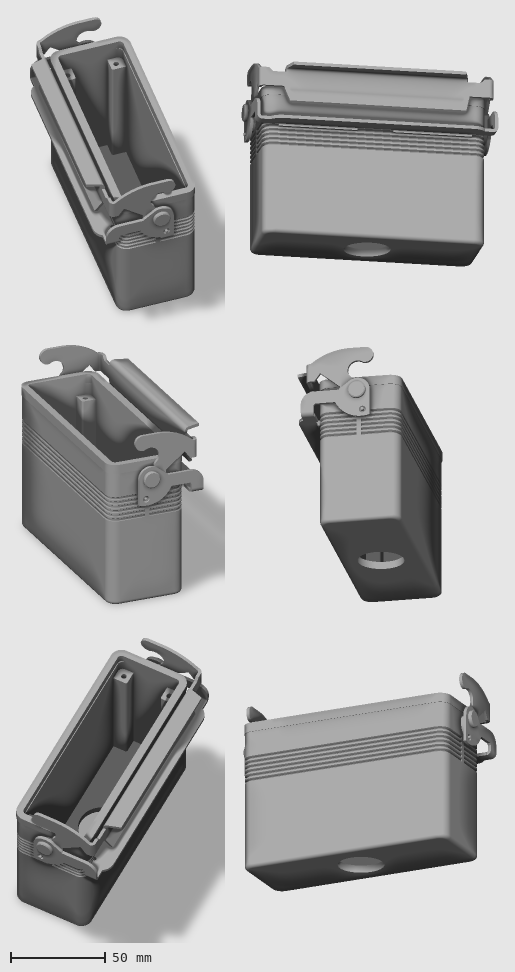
import cadquery as cq
import math

BODY_LENGTH = 120.0
BODY_WIDTH = 44.0
BODY_TOP = 76.2
HOUSING_TOP = 81.3
CORNER_RADIUS = 6.2
BOTTOM_FILLET = 2.0
RIM_OVERHANG = 0.3
FLOOR = 4.0
CAVITY_LENGTH = 113.0
CAVITY_WIDTH = 35.9
CAVITY_RADIUS = 3.0
REAR_LEDGE = 0.4
RIM_CAVITY_RADIUS = 2.1
END_WALL = (BODY_LENGTH - CAVITY_LENGTH) / 2
CABLE_HOLE_RADIUS = 12.5

POST_SIZE = 7.9
POST_TOP = 69.5
POST_FILLET = 1.1
POST_HOLE_X = 52.1
POST_HOLE_Y = 13.5
POST_HOLE_RADIUS = 1.5
POST_HOLE_TAPER = 1.4
POST_HOLE_DEPTH = 16.1

GROOVE_COUNT = 6
GROOVE_HEIGHT = 1.6
GROOVE_RIB = 0.88
GROOVE_PITCH = GROOVE_HEIGHT + GROOVE_RIB
GROOVE_DEPTH = 1.2
GROOVE_TAPER = 0.7
GROOVE_TOP = 62.6
GROOVE_BREAK_WIDTH = 2.5

SHEET = 1.7
PIVOT_Z = 72.1
PLATE_MEET_X = 63.4
HOOK_INNER_X = PLATE_MEET_X - SHEET
ARM_OUTER_X = PLATE_MEET_X + SHEET
RIVET_END_X = 67.0
RIVET_HEAD_RADIUS = 4.7
RIVET_CHAMFER = 0.5
PIN_RADIUS = 2.5
SPIGOT_RADIUS = 1.7
BEND_INNER = 1.0
BEND_OUTER = BEND_INNER + SHEET

HOOK_TOP = 97.0
NOSE_RADIUS = 4.3
NOSE_Y = 4.2
NOSE_END_Y = 2.8
BITE_RADIUS = 5.4
BITE_Z = 84.3
NECK_FLARE_MIDDLE = (-5.0, 82.3)
NECK_START = (-3.9, 81.0)
NECK_MIDDLE = (-3.1, 79.7)
NECK_END = (-2.8, 77.7)
HEEL_Y = 5.6
THROAT_BOTTOM_Z = 75.3
THROAT_TIP = (-20.2, 83.9)
THROAT_FRONT_Y = -23.5
BACK_ARC_START_Y = -5.4
BACK_ARC_MIDDLE = (-16.6, 94.6)
HOOK_FOOT_RADIUS = 10.6
HOOK_FOOT_Y = -9.4

FRONT_Y = -28.0
FRONT_BOTTOM = 79.5
FRONT_TOP = 89.5
FRONT_STEP_Z = 87.4
FRONT_STEP_TOP_X = 58.3
FRONT_STEP_BOTTOM_X = 56.1
FRONT_STRIP_X = 50.1
BEND_X = PLATE_MEET_X - BEND_OUTER
BEND_Y = FRONT_Y + BEND_OUTER

UPPER_FLAP_TOP = 90.9
UPPER_FLAP_Y = -35.8
UPPER_FLAP_ROOT_X = 49.5
UPPER_FLAP_TIP_X = 46.5
LOWER_FLAP_BEND_Z = 77.6
LOWER_FLAP_BEND_INNER = 1.7
LOWER_FLAP_LENGTH = 7.9
LOWER_FLAP_ANGLE = 26.0
LOWER_FLAP_TIP_X = 47.5

BOSS_RADIUS = 7.0
ARM_FRONT_Y = -30.4
ARM_WIDTH = 6.8
ARM_SHOULDER_RADIUS = 7.1
ARM_ROOT = (-9.4, 73.7)
ARM_ROOT_END_Y = -9.9
BELLY_START_Y = -11.8
BELLY_MIDDLE = (-4.4, 58.7)
BELLY_END_Z = 57.9
ARM_TOP = 73.0
ARM_UNDERSIDE = 66.0
ARM_BACK_Y = ARM_FRONT_Y + ARM_WIDTH
FLANGE_TOP = 61.5
FLANGE_BOTTOM = FLANGE_TOP - SHEET
FLANGE_FRONT_Y = -33.9
FLANGE_CORNER_START_X = 51.3
FLANGE_CORNER_MIDDLE = (55.2, -33.0)
FLANGE_CORNER_END_X = 57.9
FLANGE_BACK_Y = -23.3
FLANGE_RELIEF_Y = -24.0
TAB_BACK_Y = -22.1
TAB_BOTTOM = 58.5
TAB_INNER_X = 9.6
TAB_OUTER_X = 52.3
NOTCH_RADIUS = 1.1

STOP_Y = 3.0
STOP_Z = 61.0
STOP_RADIUS = 0.8
STOP_LENGTH = 1.0
STOP_RECESS_RADIUS = 1.9
STOP_RECESS_TAPER = 30.0


def rounded_block(length, width, bottom, top, radius):
    """A block centred on Z with its vertical edges rounded."""
    block = cq.Workplane("XY").workplane(offset=bottom).rect(length, width).extrude(top - bottom)
    return block.edges("|Z").fillet(radius)


def x_disc(radius, x_start, x_end, y=0.0, z=PIVOT_Z):
    """A round bar along X."""
    return cq.Workplane("YZ", origin=(x_start, y, z)).circle(radius).extrude(x_end - x_start)


def both_ends(solid):
    """The shape together with its mirror image across X = 0."""
    return solid.union(solid.mirror("YZ"))


def groove_tool():
    """One ring-shaped groove cutter with a flat floor and a sloping upper wall, top at Z = 0."""
    margin = 1.3
    outside = (
        cq.Workplane("XY").workplane(offset=-GROOVE_HEIGHT)
        .rect(BODY_LENGTH + 2 * margin, BODY_WIDTH + 2 * margin).extrude(GROOVE_HEIGHT)
    )
    core_length = BODY_LENGTH - 2 * GROOVE_DEPTH
    core_width = BODY_WIDTH - 2 * GROOVE_DEPTH
    core_radius = CORNER_RADIUS - GROOVE_DEPTH
    core = rounded_block(core_length, core_width, -GROOVE_HEIGHT, 0, core_radius)
    flare_angle = -math.degrees(math.atan2(GROOVE_DEPTH, GROOVE_TAPER))
    flare = (
        cq.Workplane("XY").workplane(offset=-GROOVE_TAPER)
        .sketch().rect(core_length, core_width).vertices().fillet(core_radius).finalize()
        .extrude(GROOVE_TAPER, taper=flare_angle)
    )
    breaks = (
        cq.Workplane("XY").workplane(offset=-GROOVE_HEIGHT)
        .rect(BODY_LENGTH + 4 * margin, GROOVE_BREAK_WIDTH).extrude(GROOVE_HEIGHT)
    )
    return outside.cut(core).cut(flare).cut(breaks)


def make_housing():
    body = rounded_block(BODY_LENGTH, BODY_WIDTH, 0, BODY_TOP, CORNER_RADIUS)
    body = body.faces("<Z").edges().fillet(BOTTOM_FILLET)
    rim = rounded_block(
        BODY_LENGTH + 2 * RIM_OVERHANG, BODY_WIDTH + 2 * RIM_OVERHANG, BODY_TOP, HOUSING_TOP, CORNER_RADIUS
    )
    housing = body.union(rim)

    cavity = rounded_block(CAVITY_LENGTH, CAVITY_WIDTH, FLOOR, BODY_TOP, CAVITY_RADIUS)
    mouth = rounded_block(CAVITY_LENGTH, CAVITY_WIDTH + REAR_LEDGE, BODY_TOP, HOUSING_TOP, RIM_CAVITY_RADIUS)
    housing = housing.cut(cavity).cut(mouth.translate((0, REAR_LEDGE / 2, 0)))

    for x_side in (-1, 1):
        for y_side in (-1, 1):
            overlap = END_WALL / 2
            post = (
                cq.Workplane("XY").workplane(offset=FLOOR - overlap)
                .center(
                    x_side * (CAVITY_LENGTH / 2 - (POST_SIZE - overlap) / 2),
                    y_side * (CAVITY_WIDTH / 2 - (POST_SIZE - overlap) / 2),
                )
                .rect(POST_SIZE + overlap, POST_SIZE + overlap).extrude(POST_TOP - FLOOR + overlap)
                .edges("|Z").fillet(POST_FILLET)
            )
            housing = housing.union(post)
            hole = (
                cq.Workplane("XY").workplane(offset=POST_TOP)
                .center(x_side * POST_HOLE_X, y_side * POST_HOLE_Y)
                .circle(POST_HOLE_RADIUS).extrude(-POST_HOLE_DEPTH, taper=POST_HOLE_TAPER)
            )
            housing = housing.cut(hole)

    housing = housing.cut(cq.Workplane("XY").circle(CABLE_HOLE_RADIUS).extrude(FLOOR))
    half_length = BODY_LENGTH / 2
    housing = housing.cut(x_disc(SPIGOT_RADIUS, -half_length, half_length))

    tool = groove_tool()
    for index in range(GROOVE_COUNT):
        housing = housing.cut(tool.translate((0, 0, GROOVE_TOP - index * GROOVE_PITCH)))
    return housing


def make_hook_plate():
    """The hooked side plate on the +X end, up to the start of its front bend."""
    nose_z = HOOK_TOP - NOSE_RADIUS
    nose_end = (NOSE_END_Y, nose_z - math.sqrt(NOSE_RADIUS**2 - (NOSE_Y - NOSE_END_Y) ** 2))
    diagonal = math.sqrt(0.5)
    bite_middle = (-BITE_RADIUS * diagonal, BITE_Z + BITE_RADIUS * diagonal)
    foot_corner_z = PIVOT_Z - math.sqrt(HOOK_FOOT_RADIUS**2 - HOOK_FOOT_Y**2)
    return (
        cq.Workplane("YZ", origin=(HOOK_INNER_X, 0, 0))
        .moveTo(NOSE_Y, HOOK_TOP)
        .threePointArc((NOSE_Y + NOSE_RADIUS, nose_z), nose_end)
        .threePointArc(bite_middle, (-BITE_RADIUS, BITE_Z))
        .threePointArc(NECK_FLARE_MIDDLE, NECK_START)
        .threePointArc(NECK_MIDDLE, NECK_END)
        .lineTo(HEEL_Y, PIVOT_Z)
        .threePointArc((0, PIVOT_Z - HOOK_FOOT_RADIUS), (HOOK_FOOT_Y, foot_corner_z))
        .lineTo(HOOK_FOOT_Y, THROAT_BOTTOM_Z)
        .lineTo(*THROAT_TIP)
        .lineTo(THROAT_FRONT_Y, FRONT_BOTTOM)
        .lineTo(BEND_Y, FRONT_BOTTOM)
        .lineTo(BEND_Y, FRONT_TOP)
        .threePointArc(BACK_ARC_MIDDLE, (BACK_ARC_START_Y, HOOK_TOP))
        .close().extrude(SHEET)
    )


def make_hook_bend():
    """The quarter-round vertical bend between the +X hook plate and the front plate."""
    ring = (
        cq.Workplane("XY", origin=(BEND_X, BEND_Y, FRONT_BOTTOM))
        .circle(BEND_OUTER).circle(BEND_INNER).extrude(FRONT_TOP - FRONT_BOTTOM)
    )
    quarter = (
        cq.Workplane("XY", origin=(BEND_X, BEND_Y, FRONT_BOTTOM))
        .rect(BEND_OUTER, -BEND_OUTER, centered=False).extrude(FRONT_TOP - FRONT_BOTTOM)
    )
    return ring.intersect(quarter)


def make_front_plate():
    """The flat front of the hooked bail, with stepped top corners."""
    right = [
        (FRONT_STRIP_X, FRONT_BOTTOM), (BEND_X, FRONT_BOTTOM), (BEND_X, FRONT_TOP),
        (FRONT_STEP_TOP_X, FRONT_TOP), (FRONT_STEP_BOTTOM_X, FRONT_STEP_Z),
    ]
    left = [(-x, z) for x, z in reversed(right)]
    return cq.Workplane("XZ", origin=(0, FRONT_Y + SHEET, 0)).polyline(right + left).close().extrude(SHEET)


def make_upper_flap():
    """The finger flap along the top of the front plate, bent outwards and tapered towards its tip."""
    back_y = FRONT_Y + SHEET
    flap_bottom = UPPER_FLAP_TOP - SHEET
    bend_y = FRONT_Y - BEND_INNER
    bend_z = flap_bottom - BEND_INNER
    diagonal = math.sqrt(0.5)
    strip = (
        cq.Workplane("YZ", origin=(-FRONT_STRIP_X, 0, 0))
        .moveTo(back_y, FRONT_BOTTOM)
        .lineTo(back_y, bend_z)
        .threePointArc(
            (bend_y + BEND_OUTER * diagonal, bend_z + BEND_OUTER * diagonal), (bend_y, UPPER_FLAP_TOP)
        )
        .lineTo(UPPER_FLAP_Y, UPPER_FLAP_TOP)
        .lineTo(UPPER_FLAP_Y, flap_bottom)
        .lineTo(bend_y, flap_bottom)
        .threePointArc(
            (bend_y + BEND_INNER * diagonal, bend_z + BEND_INNER * diagonal), (FRONT_Y, bend_z)
        )
        .lineTo(FRONT_Y, FRONT_BOTTOM)
        .close().extrude(2 * FRONT_STRIP_X)
    )
    outline = (
        cq.Workplane("XY").workplane(offset=FRONT_BOTTOM)
        .polyline([
            (-UPPER_FLAP_ROOT_X, back_y), (-UPPER_FLAP_TIP_X, UPPER_FLAP_Y),
            (UPPER_FLAP_TIP_X, UPPER_FLAP_Y), (UPPER_FLAP_ROOT_X, back_y),
        ]).close().extrude(UPPER_FLAP_TOP - FRONT_BOTTOM)
    )
    return strip.intersect(outline)


def make_lower_flap():
    """The flap along the bottom of the front plate, sloping outwards and tapered towards its tip."""
    angle = math.radians(LOWER_FLAP_ANGLE)
    back_y = FRONT_Y + SHEET
    front_tip = (
        FRONT_Y - LOWER_FLAP_LENGTH * math.sin(angle), LOWER_FLAP_BEND_Z - LOWER_FLAP_LENGTH * math.cos(angle)
    )
    back_tip = (front_tip[0] + SHEET * math.cos(angle), front_tip[1] - SHEET * math.sin(angle))
    back_bend_z = LOWER_FLAP_BEND_Z - SHEET * math.tan(angle / 2)
    strip = (
        cq.Workplane("YZ", origin=(-FRONT_STRIP_X, 0, 0))
        .polyline([
            (back_y, FRONT_STEP_Z), (FRONT_Y, FRONT_STEP_Z), (FRONT_Y, LOWER_FLAP_BEND_Z),
            front_tip, back_tip, (back_y, back_bend_z),
        ]).close().extrude(2 * FRONT_STRIP_X)
    )
    inner_corner = cq.NearestToPointSelector((0, FRONT_Y, LOWER_FLAP_BEND_Z))
    outer_corner = cq.NearestToPointSelector((0, back_y, back_bend_z))
    strip = strip.edges(inner_corner).fillet(LOWER_FLAP_BEND_INNER)
    strip = strip.edges(outer_corner).fillet(LOWER_FLAP_BEND_INNER + SHEET)
    outline = (
        cq.Workplane("XZ", origin=(0, back_y, 0))
        .polyline([
            (-FRONT_STRIP_X, FRONT_STEP_Z), (-FRONT_STRIP_X, FRONT_BOTTOM), (-LOWER_FLAP_TIP_X, back_tip[1]),
            (LOWER_FLAP_TIP_X, back_tip[1]), (FRONT_STRIP_X, FRONT_BOTTOM), (FRONT_STRIP_X, FRONT_STEP_Z),
        ]).close().extrude(back_y - front_tip[0])
    )
    return strip.intersect(outline)


def make_arm():
    """The flat side arm of the lower bail on the +X end, up to the start of its bottom bend."""
    bend_z = FLANGE_BOTTOM + BEND_OUTER
    boss_diagonal = BOSS_RADIUS * math.sqrt(0.5)
    shoulder_inset = ARM_SHOULDER_RADIUS * (1 - math.sqrt(0.5))
    arm = (
        cq.Workplane("YZ", origin=(PLATE_MEET_X, 0, 0))
        .moveTo(BOSS_RADIUS, PIVOT_Z)
        .threePointArc((0, PIVOT_Z + BOSS_RADIUS), (-boss_diagonal, PIVOT_Z + boss_diagonal))
        .lineTo(*ARM_ROOT)
        .lineTo(ARM_ROOT_END_Y, ARM_TOP)
        .lineTo(ARM_FRONT_Y + ARM_SHOULDER_RADIUS, ARM_TOP)
        .threePointArc(
            (ARM_FRONT_Y + shoulder_inset, ARM_TOP - shoulder_inset),
            (ARM_FRONT_Y, ARM_TOP - ARM_SHOULDER_RADIUS),
        )
        .lineTo(ARM_FRONT_Y, bend_z)
        .lineTo(ARM_BACK_Y, bend_z)
        .lineTo(ARM_BACK_Y, ARM_UNDERSIDE - BEND_INNER)
        .lineTo(ARM_BACK_Y + BEND_INNER, ARM_UNDERSIDE)
        .lineTo(BELLY_START_Y, ARM_UNDERSIDE)
        .threePointArc(BELLY_MIDDLE, (BOSS_RADIUS, BELLY_END_Z))
        .close().extrude(SHEET)
    )
    recess = (
        cq.Workplane("YZ", origin=(ARM_OUTER_X, STOP_Y, STOP_Z))
        .circle(STOP_RECESS_RADIUS).extrude(-STOP_LENGTH, taper=STOP_RECESS_TAPER)
    )
    stop = x_disc(STOP_RADIUS, PLATE_MEET_X, ARM_OUTER_X + STOP_LENGTH, STOP_Y, STOP_Z)
    return arm.cut(recess).union(stop)


def make_arm_bend():
    """The quarter-round bend between the +X arm and the flange."""
    origin = (ARM_OUTER_X - BEND_OUTER, ARM_BACK_Y, FLANGE_BOTTOM + BEND_OUTER)
    ring = cq.Workplane("XZ", origin=origin).circle(BEND_OUTER).circle(BEND_INNER).extrude(ARM_WIDTH)
    quarter = (
        cq.Workplane("XZ", origin=origin).rect(BEND_OUTER, -BEND_OUTER, centered=False).extrude(ARM_WIDTH)
    )
    return ring.intersect(quarter)


def make_flange():
    """The +X half of the horizontal flange, with a down-turned tab and its relief notches."""
    end_x = ARM_OUTER_X - BEND_OUTER
    flange = (
        cq.Workplane("XY").workplane(offset=FLANGE_BOTTOM)
        .moveTo(0, FLANGE_FRONT_Y)
        .lineTo(FLANGE_CORNER_START_X, FLANGE_FRONT_Y)
        .threePointArc(FLANGE_CORNER_MIDDLE, (FLANGE_CORNER_END_X, ARM_FRONT_Y))
        .lineTo(end_x, ARM_FRONT_Y)
        .lineTo(end_x, FLANGE_BACK_Y)
        .lineTo(TAB_INNER_X, FLANGE_BACK_Y)
        .lineTo(TAB_INNER_X - FLANGE_BACK_Y + FLANGE_RELIEF_Y, FLANGE_RELIEF_Y)
        .lineTo(0, FLANGE_RELIEF_Y)
        .close().extrude(SHEET)
    )
    tab = (
        cq.Workplane("XY", origin=(TAB_INNER_X, TAB_BACK_Y - SHEET, TAB_BOTTOM))
        .rect(TAB_OUTER_X - TAB_INNER_X, SHEET, centered=False).extrude(FLANGE_TOP - TAB_BOTTOM)
        .edges("|X and >Y and >Z").fillet(BEND_INNER)
    )
    notch = (
        cq.Workplane("XY", origin=(TAB_OUTER_X + NOTCH_RADIUS, FLANGE_BACK_Y, FLANGE_BOTTOM))
        .circle(NOTCH_RADIUS).extrude(SHEET)
    )
    return flange.union(tab).cut(notch)


def make_rivet():
    """The +X pivot: a headed pin through both plates, with a spigot that fills the hole in the wall."""
    wall_x = BODY_LENGTH / 2
    head = x_disc(RIVET_HEAD_RADIUS, ARM_OUTER_X, RIVET_END_X).faces(">X").edges().chamfer(RIVET_CHAMFER)
    pin = x_disc(PIN_RADIUS, wall_x, ARM_OUTER_X)
    spigot = x_disc(SPIGOT_RADIUS, wall_x - END_WALL, wall_x)
    return head.union(pin).union(spigot)


def make_latch():
    end = make_hook_plate().union(make_hook_bend())
    end = end.union(make_arm()).union(make_arm_bend()).union(make_flange()).union(make_rivet())
    latch = both_ends(end)
    return latch.union(make_front_plate()).union(make_upper_flap()).union(make_lower_flap())


housing = make_housing()
latch = make_latch()

result = cq.Compound.makeCompound([housing.solids().val(), latch.solids().val()])